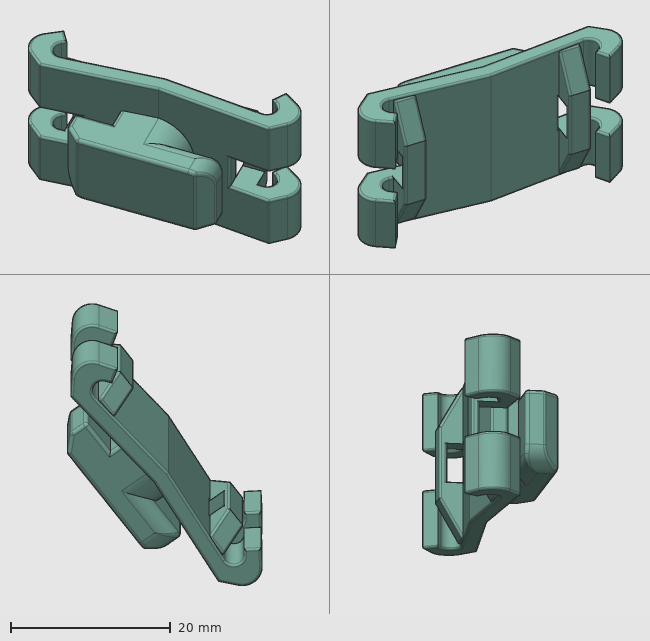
import cadquery as cq
import math

height = 20.0
total_depth = 13.08
half_width = 18.2
plate_fillet = 0.3

plate_slope = math.radians(5.5)
plate_thickness = 2.2

hook_outer_radius = 2.5
hook_outer_y = -0.18
hook_inner_radius = 1.3
hook_inner_x = 13.72
tip_angle = math.radians(33.5)
tip_y = 3.27
tip_thickness = 2.1
heel_angle = math.radians(41.0)

slot_height = 5.0
slot_x = 10.0

bracket_width = 3.0
bracket_back_y = 2.05
bracket_bar_thickness = 1.0
bracket_slope = math.radians(60)
bracket_foot_y = -0.88
bracket_foot_half = height / 2 - plate_fillet
bracket_flat_half = bracket_foot_half - (bracket_back_y - bracket_foot_y) * math.tan(bracket_slope)

head_width = 20.0
head_height = 10.0
head_front_y = tip_y - total_depth
head_depth = 4.5
head_chamfer = 2.0
head_corner_radius = 3.0
head_lead_radius = 2.0
head_fillet = 0.5
stem_width = 10.0
stem_radius = stem_width / 2
stem_root_y = -1.5

tolerance = 1e-3


def plate_back_y(x):
    """Y of the plate's back face at distance x from the ridge."""
    return -x * math.tan(plate_slope)


def point_on_arc(centre, radius, angle):
    return (centre[0] + radius * math.cos(angle), centre[1] + radius * math.sin(angle))


hook_outer_centre = (half_width - hook_outer_radius, hook_outer_y)
heel_start = point_on_arc(hook_outer_centre, hook_outer_radius, heel_angle - math.pi / 2)
heel_x = (
    heel_start[1] - heel_start[0] * math.tan(heel_angle) + plate_thickness
) / -(math.tan(plate_slope) + math.tan(heel_angle))
heel = (heel_x, plate_back_y(heel_x) - plate_thickness)


def half_plate():
    """Right half of the plate with its hook, extruded over the full height."""
    outer_top_angle = math.pi / 2 - tip_angle
    outer_top = point_on_arc(hook_outer_centre, hook_outer_radius, outer_top_angle)
    tip_outer = (outer_top[0] - (tip_y - outer_top[1]) / math.tan(tip_angle), tip_y)
    tip_inner = (
        tip_outer[0] - tip_thickness * math.sin(tip_angle),
        tip_outer[1] - tip_thickness * math.cos(tip_angle),
    )
    inner_centre = (
        hook_inner_x,
        plate_back_y(hook_inner_x) + hook_inner_radius / math.cos(plate_slope),
    )
    inner_top = point_on_arc(inner_centre, hook_inner_radius, outer_top_angle)
    inner_side = point_on_arc(inner_centre, hook_inner_radius, 0)
    inner_bottom = point_on_arc(inner_centre, hook_inner_radius, -math.pi / 2 - plate_slope)
    return (
        cq.Workplane("XY")
        .workplane(offset=-height / 2)
        .moveTo(0, 0)
        .lineTo(0, -plate_thickness)
        .lineTo(*heel)
        .lineTo(*heel_start)
        .threePointArc((half_width, hook_outer_y), outer_top)
        .lineTo(*tip_outer)
        .lineTo(*tip_inner)
        .lineTo(*inner_top)
        .threePointArc(inner_side, inner_bottom)
        .close()
        .extrude(height)
    )


def is_plate_rim(edge):
    """True for the outline edges of the hooks' end faces and for the slot ends."""
    centre = edge.Center()
    level = abs(centre.z)
    on_mirror_plane = centre.x < tolerance
    at_slot_end = abs(centre.x - slot_x) < tolerance
    on_end_face = abs(level - height / 2) < tolerance
    on_slot_face = abs(level - slot_height / 2) < tolerance and not at_slot_end
    on_slot_end = level < tolerance and at_slot_end
    return not on_mirror_plane and (on_end_face or on_slot_face or on_slot_end)


def clip_plate():
    """Right half of the plate, slotted, with all its rims rounded."""
    slot_length = half_width
    slot = (
        cq.Workplane("XY")
        .box(slot_length, height, slot_height)
        .translate((slot_x + slot_length / 2, 0, 0))
    )
    heel_edge = cq.selectors.NearestToPointSelector((heel[0], heel[1], height / 4))
    half = half_plate().edges(heel_edge).fillet(plate_fillet)
    half = half.cut(slot)
    return half.edges().filter(is_plate_rim).fillet(plate_fillet)


def bracket():
    """Bridge behind the right-hand slot, tapering towards its feet on the plate."""
    root_y = plate_back_y(slot_x + bracket_width) - plate_thickness / 4
    outline = [
        (root_y, -bracket_foot_half),
        (bracket_foot_y, -bracket_foot_half),
        (bracket_back_y, -bracket_flat_half),
        (bracket_back_y, bracket_flat_half),
        (bracket_foot_y, bracket_foot_half),
        (root_y, bracket_foot_half),
    ]
    bar_front_y = bracket_back_y - bracket_bar_thickness
    opening = (
        cq.Workplane("XY")
        .box(3 * bracket_width, height, slot_height)
        .translate((slot_x + bracket_width, bar_front_y - height / 2, 0))
    )
    body = cq.Workplane("YZ").workplane(offset=slot_x).polyline(outline).close().extrude(bracket_width)

    def is_leg_rim(edge):
        box = edge.BoundingBox()
        runs_along_side = box.xlen < tolerance and box.ymax > root_y + tolerance
        runs_along_foot = box.xlen > tolerance and abs(box.ymax - bracket_foot_y) < tolerance
        return runs_along_side or runs_along_foot

    def is_bar_front_side(edge):
        centre = edge.Center()
        runs_along_side = edge.BoundingBox().xlen < tolerance
        return runs_along_side and abs(centre.y - bar_front_y) < tolerance

    rounded = body.edges().filter(is_leg_rim).fillet(plate_fillet).cut(opening)
    return rounded.edges().filter(is_bar_front_side).fillet(plate_fillet)


def half_head_block():
    """Right half of the head before its rims are rounded."""
    half_length = head_width / 2
    block = (
        cq.Workplane("XY")
        .box(half_length, head_depth, head_height)
        .translate((half_length / 2, head_front_y + head_depth / 2, 0))
    )
    led_in = block.edges(">Y and >Z").fillet(head_lead_radius)
    chamfered = led_in.edges("|Z and <Y and >X").chamfer(head_chamfer)
    return chamfered.intersect(block.edges(">X and >Z").fillet(head_corner_radius))


def half_stem():
    """Right half of the stem: square below, a quarter round above."""
    front_y = head_front_y + head_depth / 2
    arc_middle = stem_radius * math.sqrt(0.5)
    return (
        cq.Workplane("XZ", origin=(0, stem_root_y, 0))
        .moveTo(0, -stem_radius)
        .lineTo(stem_radius, -stem_radius)
        .lineTo(stem_radius, 0)
        .threePointArc((arc_middle, arc_middle), (0, stem_radius))
        .close()
        .extrude(stem_root_y - front_y)
    )


def is_head_rim(edge):
    """True for the edges of the half head that carry the small rounding."""
    box = edge.BoundingBox()
    bottom_z = -head_height / 2
    on_front = box.ymax < head_front_y + tolerance
    on_bottom = box.zmax < bottom_z + tolerance
    is_side_upright = box.xmin > head_width / 2 - tolerance and box.zlen > tolerance
    is_chamfer_corner = edge.geomType() == "ELLIPSE"
    is_cut_or_root = box.xmax < tolerance or box.ymin > stem_root_y - tolerance
    is_rim = on_front or on_bottom or is_side_upright or is_chamfer_corner
    return is_rim and not is_cut_or_root


def half_twist_head():
    """Right half of the quarter-turn locking head and its stem."""
    body = half_head_block().union(half_stem())
    return body.edges().filter(is_head_rim).fillet(head_fillet)


def half_plate_with_bracket():
    """Right half of the clip plate and the bracket behind its slot."""
    return clip_plate().union(bracket())


right_plate = half_plate_with_bracket()
right_head = half_twist_head()
left_plate = right_plate.mirror("YZ")
left_head = right_head.rotate((0, 0, 0), (0, 1, 0), 180)
result = right_plate.union(left_plate).union(right_head.union(left_head))